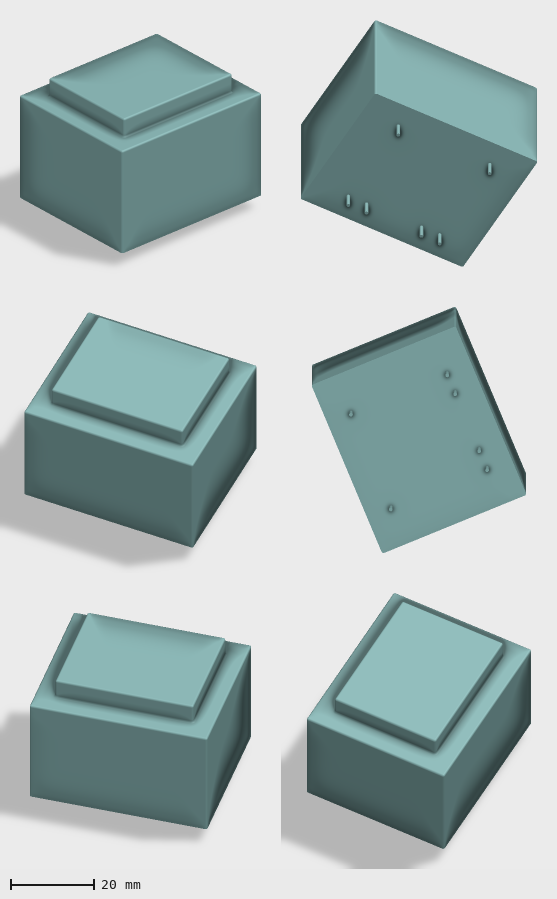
import cadquery as cq

BODY_X = 37.5
BODY_Y = 44.5
BODY_HEIGHT = 27.9
LID_X = 27.5
LID_Y = 34.55
LID_HEIGHT = 5.0
EDGE_RADIUS = 0.5

PIN_DIAMETER = 0.9
PIN_LENGTH = 3.5
ROW_OFFSET = 12.5
OUTER_PIN_Y = 12.5
INNER_PIN_Y = 7.5
FULL_ROW_Y = [-OUTER_PIN_Y, -INNER_PIN_Y, INNER_PIN_Y, OUTER_PIN_Y]
SHORT_ROW_Y = [-OUTER_PIN_Y, OUTER_PIN_Y]
PIN_PLACES = [(-ROW_OFFSET, y) for y in FULL_ROW_Y] + [(ROW_OFFSET, y) for y in SHORT_ROW_Y]


def rounded_block(size_x, size_y, height, base_z):
    """Block with rounded upright edges and a rounded top rim."""
    block = cq.Workplane("XY").workplane(offset=base_z).rect(size_x, size_y).extrude(height)
    return block.edges("|Z or >Z").fillet(EDGE_RADIUS)


def make_housing():
    """Block and lid joined, with a concave fillet around the foot of the lid."""
    block = rounded_block(BODY_X, BODY_Y, BODY_HEIGHT, 0)
    lid = rounded_block(LID_X, LID_Y, LID_HEIGHT, BODY_HEIGHT)
    foot_zone = cq.selectors.BoxSelector(
        (-LID_X / 2 - EDGE_RADIUS, -LID_Y / 2 - EDGE_RADIUS, BODY_HEIGHT - EDGE_RADIUS / 2),
        (LID_X / 2 + EDGE_RADIUS, LID_Y / 2 + EDGE_RADIUS, BODY_HEIGHT + EDGE_RADIUS / 2),
    )
    return block.union(lid).edges(foot_zone).fillet(EDGE_RADIUS)


def make_pin(x, y):
    """Round pin hanging from the underside of the housing."""
    return cq.Workplane("XY").center(x, y).circle(PIN_DIAMETER / 2).extrude(-PIN_LENGTH)


housing = make_housing()
pins = [make_pin(x, y) for x, y in PIN_PLACES]

result = cq.Compound.makeCompound([housing.val(), *[pin.val() for pin in pins]])